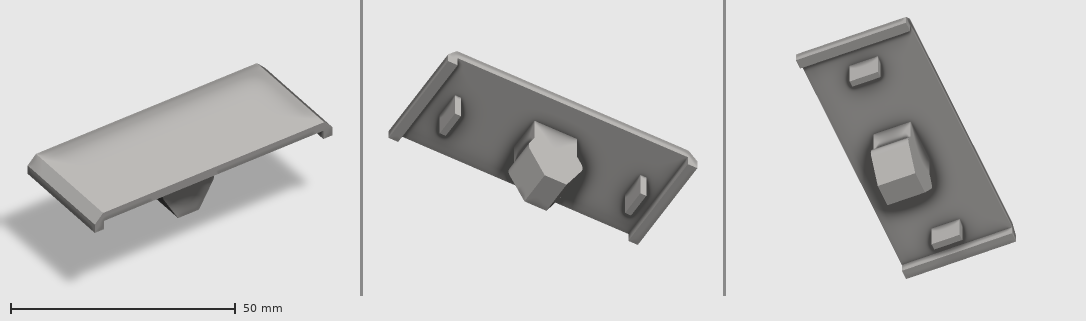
import cadquery as cq
import math

length = 64.0
width = 26.5
wall = 2.3
bevel_run = 2.25
lip_depth = 2 * wall
lip_thickness = 2.4

rib_width = 6.8
rib_thickness = 1.55
rib_center_y = 23.8
rib_bottom = 8.45

clip_width = 9.0
clip_max_x = rib_width / 2
neck_half = 5.45
neck_bottom = 8.05
clip_bottom = 19.0
foot_half = 2.8
flank_angle = math.radians(30)
barb_radius = 2.5

OVERLAP = wall / 2


def make_cover():
    """Bevelled plate with a downward lip at each end."""
    end = length / 2
    inner = end - lip_thickness
    top_end = end - bevel_run
    outline = [
        (-top_end, 0),
        (top_end, 0),
        (end, -wall),
        (end, -lip_depth),
        (inner, -lip_depth),
        (inner, -wall),
        (-inner, -wall),
        (-inner, -lip_depth),
        (-end, -lip_depth),
        (-end, -wall),
    ]
    profile = cq.Workplane("YZ").polyline(outline).close()
    return profile.extrude(width / 2, both=True)


def make_rib(center_y):
    height = rib_bottom - wall + OVERLAP
    rib = cq.Workplane("XY").box(rib_width, rib_thickness, height, centered=(True, True, False))
    return rib.translate((0, center_y, -rib_bottom))


def make_clip():
    """Straight neck widening to a rounded barb, then tapering to the foot."""
    flank_height = clip_bottom - neck_bottom
    upper_height = (flank_height + (foot_half - neck_half) / math.tan(flank_angle)) / 2
    barb_half = neck_half + upper_height * math.tan(flank_angle)
    barb_z = -neck_bottom - upper_height
    root_z = OVERLAP - wall
    outline = [
        (-neck_half, root_z),
        (neck_half, root_z),
        (neck_half, -neck_bottom),
        (barb_half, barb_z),
        (foot_half, -clip_bottom),
        (-foot_half, -clip_bottom),
        (-barb_half, barb_z),
        (-neck_half, -neck_bottom),
    ]
    profile = cq.Workplane("YZ", origin=(clip_max_x - clip_width, 0, 0)).polyline(outline).close()
    clip = profile.extrude(clip_width)
    return clip.edges("|X").edges("<Y or >Y").fillet(barb_radius)


result = make_cover().union(make_clip())
for side in (-1, 1):
    result = result.union(make_rib(side * rib_center_y))